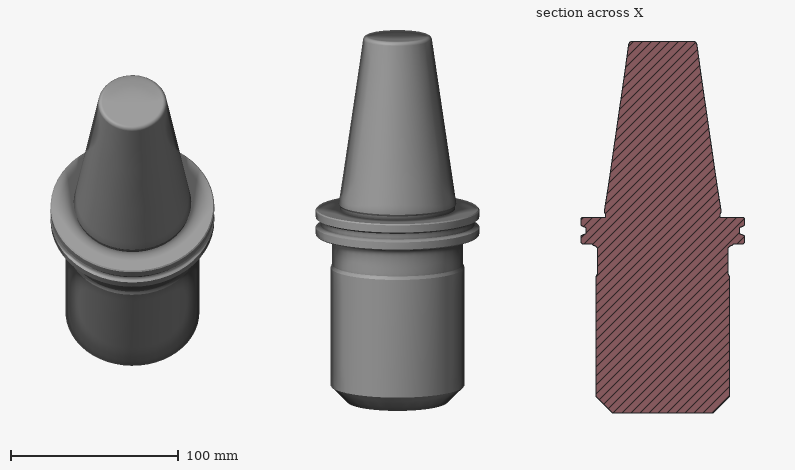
import cadquery as cq

total_height = 221.8

body_radius = 40.0
nose_bevel = 10.0
shoulder_z = 81.4
shoulder_height = 2.0
neck_radius = 39.0
neck_top_z = 97.8

flange_radius = 48.8
flange_bottom_z = 101.0
flange_top_z = 116.9
flange_chamfer = 0.7
flange_blend_outer_radius = 42.5
blend_arc_radius = 2.0
groove_center_z = 108.9
groove_mouth = 6.0
groove_floor = 3.3
groove_depth = 2.9

gauge_z = 120.0
gauge_radius = 35.0
undercut_radius = 34.4
undercut_bevel_height = 1.0
taper_ratio = 7 / 24
tip_round = 2.5
tip_radius = gauge_radius - (total_height - gauge_z) * taper_ratio / 2


def make_turned_body():
    """Revolve the half profile, listed from the nose up to the shank tip."""
    blend_end_z = neck_top_z + blend_arc_radius
    profile = (
        cq.Workplane("XZ")
        .moveTo(0, 0)
        .lineTo(body_radius - nose_bevel, 0)
        .lineTo(body_radius, nose_bevel)
        .lineTo(body_radius, shoulder_z)
        .lineTo(neck_radius, shoulder_z + shoulder_height)
        .lineTo(neck_radius, neck_top_z)
        .radiusArc((neck_radius + blend_arc_radius, blend_end_z), blend_arc_radius)
        .lineTo(flange_blend_outer_radius, flange_bottom_z)
        .lineTo(flange_radius - flange_chamfer, flange_bottom_z)
        .lineTo(flange_radius, flange_bottom_z + flange_chamfer)
        .lineTo(flange_radius, flange_top_z - flange_chamfer)
        .lineTo(flange_radius - flange_chamfer, flange_top_z)
        .lineTo(undercut_radius, flange_top_z)
        .lineTo(undercut_radius, gauge_z - undercut_bevel_height)
        .lineTo(gauge_radius, gauge_z)
        .lineTo(tip_radius, total_height)
        .lineTo(0, total_height)
        .close()
    )
    body = profile.revolve(360, (0, 0, 0), (0, 1, 0))
    return body.faces(">Z").edges().fillet(tip_round)


def make_groove_cutter():
    """Ring with a V-sided, flat-floored section for the gripper groove."""
    floor_radius = flange_radius - groove_depth
    return (
        cq.Workplane("XZ")
        .moveTo(floor_radius, groove_center_z - groove_floor / 2)
        .lineTo(flange_radius, groove_center_z - groove_mouth / 2)
        .lineTo(flange_radius, groove_center_z + groove_mouth / 2)
        .lineTo(floor_radius, groove_center_z + groove_floor / 2)
        .close()
        .revolve(360, (0, 0, 0), (0, 1, 0))
    )


result = make_turned_body().cut(make_groove_cutter())